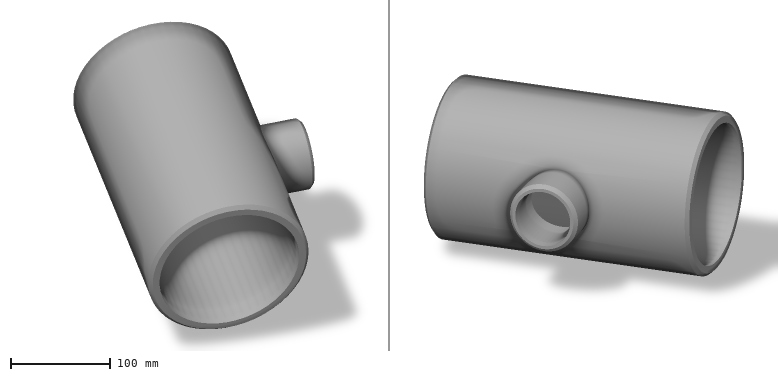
import cadquery as cq

run_length = 285.5
run_diameter = 168.28
run_wall = 10.97
branch_diameter = 73.03
branch_wall = 7.01
branch_reach = 120.65

bevel = 3.65


def run_cylinder(diameter):
    """Cylinder along X, centred on the origin, as long as the run."""
    return cq.Workplane("YZ").circle(diameter / 2).extrude(run_length / 2, both=True)


def branch_cylinder(diameter):
    """Cylinder from the run axis to the branch end face."""
    return cq.Workplane("XZ").circle(diameter / 2).extrude(-branch_reach)


def make_run():
    return run_cylinder(run_diameter).edges("%CIRCLE").chamfer(bevel)


def make_branch():
    return branch_cylinder(branch_diameter).faces(">Y").edges().chamfer(bevel)


run_bore = run_cylinder(run_diameter - 2 * run_wall)
branch_bore = branch_cylinder(branch_diameter - 2 * branch_wall)

result = make_run().union(make_branch()).cut(run_bore).cut(branch_bore)